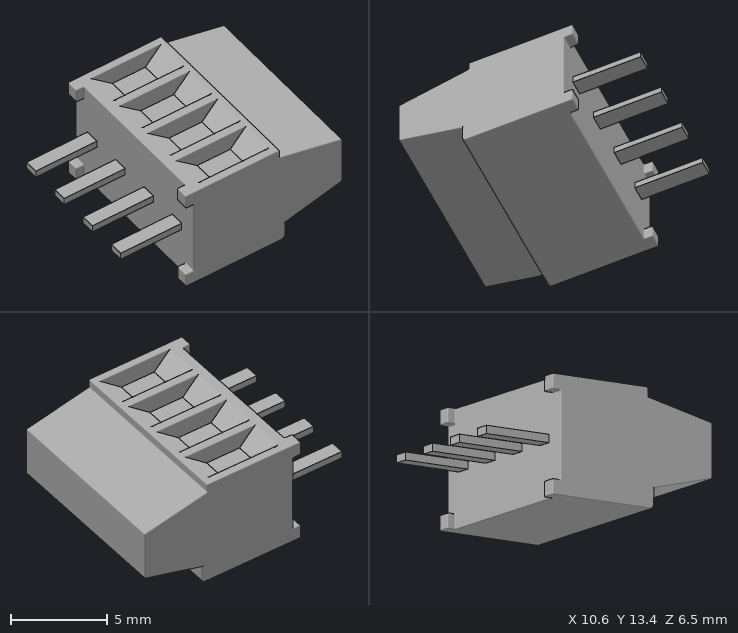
import cadquery as cq


total_length = 13.4
width = 10.63
height = 6.5

pole_count = 4
pole_pitch = 2.53
pin_length = 3.9
pin_width = 0.85
pin_thickness = 0.44

foot_length = 0.5
foot_width = 0.8
foot_height = 0.87

nose_y = total_length - pin_length
top_step_y = nose_y - 4.0
bottom_step_y = nose_y - 3.65
nose_top_z = 1.84
nose_bottom_z = -1.18
nose_root_top_z = 2.72
nose_root_bottom_z = -2.13

pocket_y = 2.88
pocket_depth = 0.8
mouth_width = 2.01
mouth_length = 4.48
floor_width = 1.5
floor_length = 2.1

edge_radius = 0.074
heel_radius = 0.25

pin_embed = 0.13

top_z = height / 2
bottom_z = -top_z
pole_positions = [(i - (pole_count - 1) / 2) * pole_pitch for i in range(pole_count)]


def make_housing_block():
    """Side profile in the YZ plane, extruded symmetrically along X."""
    return (
        cq.Workplane("YZ")
        .moveTo(-foot_length, bottom_z)
        .lineTo(bottom_step_y - heel_radius, bottom_z)
        .radiusArc((bottom_step_y, bottom_z + heel_radius), -heel_radius)
        .lineTo(bottom_step_y, nose_root_bottom_z)
        .lineTo(nose_y, nose_bottom_z)
        .lineTo(nose_y, nose_top_z)
        .lineTo(top_step_y, nose_root_top_z)
        .lineTo(top_step_y, top_z)
        .lineTo(-foot_length, top_z)
        .close()
        .extrude(width / 2, both=True)
    )


def make_foot_gaps():
    """Cross-shaped space that leaves a foot standing at each corner of the pin face."""
    across = cq.Workplane("XY").box(width, foot_length, height - 2 * foot_height)
    upright = cq.Workplane("XY").box(width - 2 * foot_width, foot_length, height)
    return across.union(upright).translate((0, -foot_length / 2, 0))


def make_pocket(x):
    """Pocket tapering from its mouth in the top face to a smaller flat floor."""
    return (
        cq.Workplane("XY", origin=(x, pocket_y, top_z))
        .rect(mouth_width, mouth_length)
        .workplane(offset=-pocket_depth)
        .rect(floor_width, floor_length)
        .loft(ruled=True)
    )


def make_pin(x):
    """Flat pin running along -Y from just inside the housing."""
    return (
        cq.Workplane("XZ", origin=(x, pin_embed, 0))
        .rect(pin_width, pin_thickness)
        .extrude(pin_embed + pin_length)
    )


housing = make_housing_block().cut(make_foot_gaps())
for x in pole_positions:
    housing = housing.cut(make_pocket(x))

rim_clearance = pocket_depth / 4
pockets_end_x = pole_positions[-1] + mouth_width / 2
inside_pockets = cq.selectors.BoxSelector(
    (-pockets_end_x, pocket_y - mouth_length / 2, top_z - pocket_depth - rim_clearance),
    (pockets_end_x, pocket_y + mouth_length / 2, top_z - rim_clearance),
)
lower_nose_root = cq.selectors.NearestToPointSelector((0, bottom_step_y, nose_root_bottom_z))
rounded_edges = cq.selectors.InverseSelector(inside_pockets) - lower_nose_root
result = housing.edges(rounded_edges).fillet(edge_radius)

for x in pole_positions:
    result = result.union(make_pin(x))